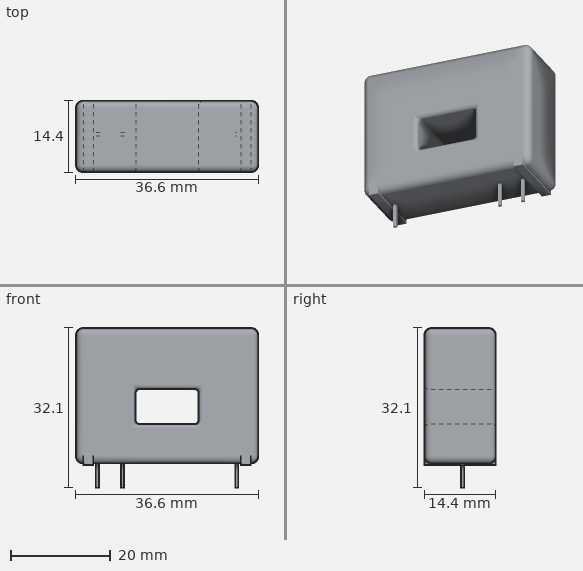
import cadquery as cq

LENGTH = 36.6
DEPTH = 14.35
HEIGHT = 27.2
EDGE_RADIUS = 1.5

FOOT_WIDTH = 2.0
FOOT_DROP = 0.33

WINDOW_LENGTH = 12.6
WINDOW_HEIGHT = 6.95
WINDOW_CENTER_Z = 11.42
WINDOW_CORNER_RADIUS = 0.75
RIM_RADIUS = 0.85

OVERALL_HEIGHT = 32.1
PIN_SIZE = 0.65
PIN_LENGTH = OVERALL_HEIGHT - HEIGHT
PIN_Y = 0.5
PIN_ROW_X = 13.98
PIN_PITCH = 5.05
PIN_XS = (-PIN_ROW_X, -PIN_ROW_X + PIN_PITCH, PIN_ROW_X)


def make_block():
    """Block with all its outer edges rounded."""
    block = cq.Workplane("XY").box(LENGTH, DEPTH, HEIGHT, centered=(True, True, False))
    return block.edges().fillet(EDGE_RADIUS)


def make_foot(side):
    """Bar at one end of the block; side is -1 or +1 along X."""
    foot_x = side * (LENGTH / 2 - EDGE_RADIUS - FOOT_WIDTH / 2)
    return (
        cq.Workplane("XY", origin=(foot_x, 0, -FOOT_DROP))
        .box(FOOT_WIDTH, DEPTH, FOOT_DROP + EDGE_RADIUS, centered=(True, True, False))
    )


def corner_selector(side_x, side_z):
    """Box around one window corner, through the depth and over the rim fillets."""
    inner_x = side_x * (WINDOW_LENGTH / 2 - RIM_RADIUS)
    outer_x = side_x * (WINDOW_LENGTH / 2 + RIM_RADIUS)
    inner_z = WINDOW_CENTER_Z + side_z * (WINDOW_HEIGHT / 2 - RIM_RADIUS)
    outer_z = WINDOW_CENTER_Z + side_z * (WINDOW_HEIGHT / 2 + RIM_RADIUS)
    return cq.selectors.BoxSelector((inner_x, -DEPTH, inner_z), (outer_x, DEPTH, outer_z))


def cut_window(body):
    """Window whose rim fillet follows one round corner and is mitred at the other three."""
    opening = (
        cq.Workplane("XY", origin=(0, 0, WINDOW_CENTER_Z))
        .box(WINDOW_LENGTH, DEPTH, WINDOW_HEIGHT)
        .edges("|Y").edges(">X").edges("<Z").fillet(WINDOW_CORNER_RADIUS)
    )
    body = body.cut(opening)

    rim_area = cq.selectors.BoxSelector(
        (-WINDOW_LENGTH, -DEPTH, WINDOW_CENTER_Z - WINDOW_HEIGHT),
        (WINDOW_LENGTH, DEPTH, WINDOW_CENTER_Z + WINDOW_HEIGHT),
    )
    body = body.faces("<Y or >Y").edges(rim_area).fillet(RIM_RADIUS)

    for side_x, side_z in ((-1, -1), (-1, 1), (1, 1)):
        body = body.edges("|Y").edges(corner_selector(side_x, side_z)).fillet(WINDOW_CORNER_RADIUS)
    return body


def make_housing():
    body = make_block()
    for side in (-1, 1):
        body = body.union(make_foot(side))
    return cut_window(body)


def make_pin(pin_x):
    return (
        cq.Workplane("XY", origin=(pin_x, PIN_Y, -PIN_LENGTH))
        .box(PIN_SIZE, PIN_SIZE, PIN_LENGTH, centered=(True, True, False))
    )


housing = make_housing()
pins = [make_pin(pin_x) for pin_x in PIN_XS]

result = cq.Compound.makeCompound([housing.val(), *[pin.val() for pin in pins]])